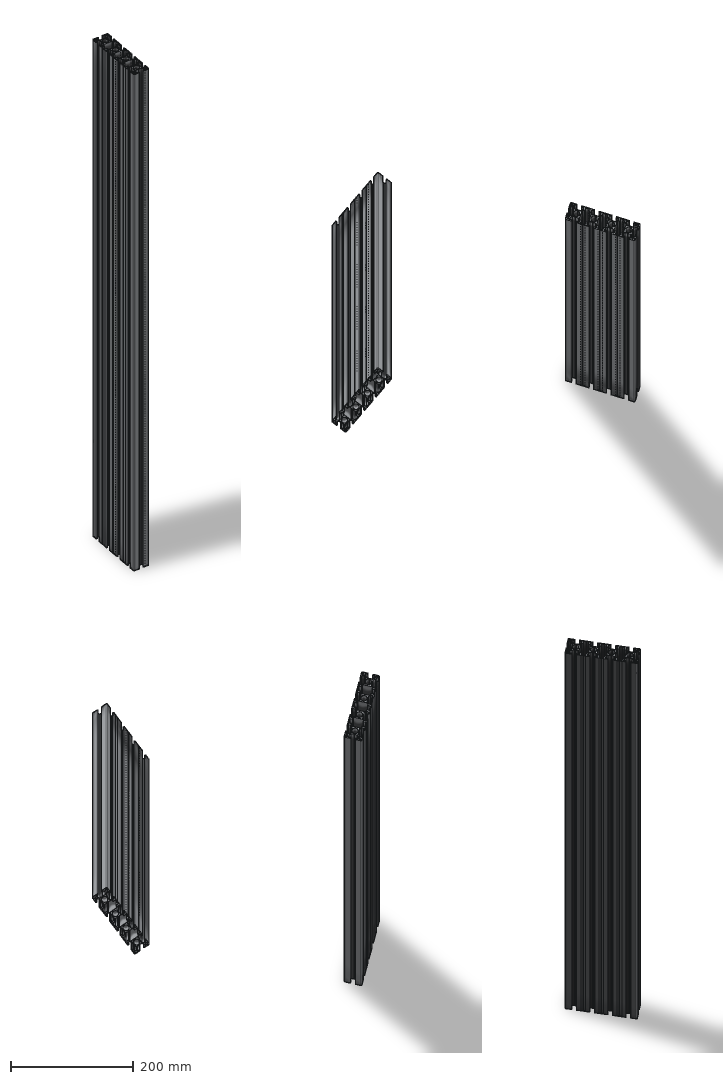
import cadquery as cq

cell = 30.0
cell_count = 4
length = 1000.0
outer_corner_radius = 2.0

slot_opening = 8.0
slot_width = 16.0
slot_floor_width = 10.0
slot_depth = 8.5
lip_thickness = 2.2
flank_height = 3.0
lip_radius = 0.4

groove_width = 1.0
groove_depth = 0.3

bore_diameter = 10.0

hollow_skin = 1.5
hollow_end_width = 8.0
hollow_end_height = 4.5
hollow_middle_width = 16.0
hollow_middle_height = 17.0

corner_hole_diameter = 3.0
corner_hole_inset = 3.5

face = cell / 2
bar_width = cell * cell_count
cell_centers = [(i - (cell_count - 1) / 2) * cell for i in range(cell_count)]
joint_centers = [x + face for x in cell_centers[:-1]]

wide_face_slots = [(x, angle) for x in cell_centers for angle in (0, 180)]
end_face_slots = [(cell_centers[0], 90), (cell_centers[-1], -90)]
slot_places = wide_face_slots + end_face_slots


def prism(half_outline):
    """Extrude an outline given by its +X half, mirrored about the Y axis."""
    mirrored = [(-x, y) for x, y in reversed(half_outline) if x > 0]
    return cq.Workplane("XY").polyline(half_outline + mirrored).close().extrude(length)


def round_holes(centers, diameter):
    return cq.Workplane("XY").pushPoints(centers).circle(diameter / 2).extrude(length)


def t_slot():
    """Slot cutter for the +Y face of a cell centred on the origin, with its floor groove."""
    floor = face - slot_depth
    lip = face - lip_thickness
    return prism([
        (0, floor - groove_depth),
        (groove_width / 2, floor),
        (slot_floor_width / 2, floor),
        (slot_width / 2, lip - flank_height),
        (slot_width / 2, lip),
        (slot_opening / 2, lip),
        (slot_opening / 2, face),
    ])


def face_groove():
    """V-groove cutter for the +Y face."""
    return prism([(0, face - groove_depth), (groove_width / 2, face)])


def hollow():
    """Cutter for the cavity shared by two neighbouring cells, wider at mid-height."""
    end = face - hollow_skin
    shoulder = end - hollow_end_height
    return prism([
        (hollow_end_width / 2, -end),
        (hollow_end_width / 2, -shoulder),
        (hollow_middle_width / 2, -hollow_middle_height / 2),
        (hollow_middle_width / 2, hollow_middle_height / 2),
        (hollow_end_width / 2, shoulder),
        (hollow_end_width / 2, end),
    ])


def turned(cutter, angle, x):
    """Turn a +Y face cutter about Z, then shift it along X."""
    return cutter.rotate((0, 0, 0), (0, 0, 1), angle).translate((x, 0, 0))


def lip_edge_selector(angle, x):
    """Select the two outer lip edges of one slot with a thin box lying on its face."""
    tolerance = 0.1
    half_width = slot_opening / 2 + tolerance
    box = cq.Workplane("XY").box(2 * half_width, 2 * tolerance, length + 2 * tolerance)
    bounds = turned(box.translate((0, face, length / 2)), angle, x).val().BoundingBox()
    return cq.selectors.BoxSelector(
        (bounds.xmin, bounds.ymin, bounds.zmin), (bounds.xmax, bounds.ymax, bounds.zmax)
    )


bar = cq.Workplane("XY").rect(bar_width, cell).extrude(length)
bar = bar.edges("|Z").fillet(outer_corner_radius)

for x, angle in slot_places:
    bar = bar.cut(turned(t_slot(), angle, x))
for x, angle in slot_places:
    bar = bar.edges("|Z").edges(lip_edge_selector(angle, x)).fillet(lip_radius)

for x in joint_centers:
    bar = bar.cut(hollow().translate((x, 0, 0)))
    for angle in (0, 180):
        bar = bar.cut(turned(face_groove(), angle, x))

bar = bar.cut(round_holes([(x, 0) for x in cell_centers], bore_diameter))

corner_hole_x = bar_width / 2 - corner_hole_inset
corner_hole_y = face - corner_hole_inset
corner_hole_centers = [(i * corner_hole_x, j * corner_hole_y) for i in (-1, 1) for j in (-1, 1)]
bar = bar.cut(round_holes(corner_hole_centers, corner_hole_diameter))

result = bar